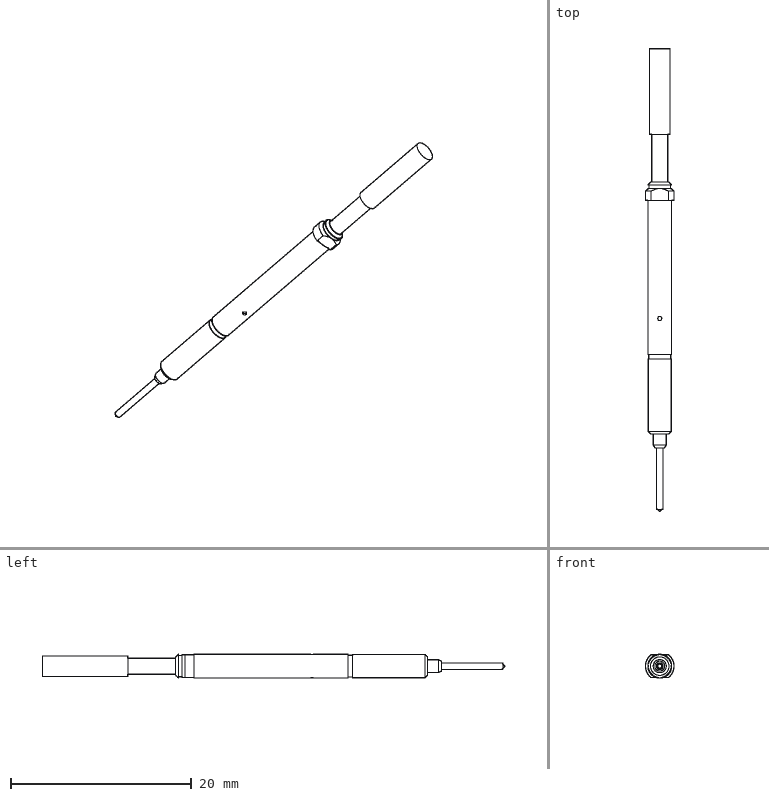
import cadquery as cq


total_length = 51.3

sleeve_diameter = 2.3
sleeve_length = 9.5
neck_diameter = 1.8
neck_end = 14.75

ridge_start_diameter = 2.0
ridge_diameter = 2.65
ridge_station = 15.1
waist_diameter = 2.4
waist_end = 15.5
collar_chamfer_diameter = 2.55
collar_diameter = 3.19
collar_chamfer_end = 15.8
collar_end = 16.8
flat_distance = 2.53

rear_barrel_diameter = 2.65
front_barrel_diameter = 2.6
groove_diameter = 2.45
groove_start = 33.9
groove_end = 34.4
barrel_end = 42.4
barrel_lip_diameter = 2.05
barrel_lip_end = 42.7

dimple_diameter = 0.45
dimple_depth = 0.25
dimple_station = 29.9

guide_diameter = 1.45
guide_nose_start = 43.9
guide_nose_diameter = 1.1
guide_end = 44.25

pin_diameter = 0.75
pin_chamfer_diameter = 0.68
pin_chamfer_length = 0.12
point_diameter = 0.45
point_length = 0.25

rear_y = total_length / 2


def station_y(station):
    """Y coordinate of a distance measured from the rear end."""
    return rear_y - station


def make_body():
    """Revolve the stepped half-profile, listed as (station, diameter)."""
    pin_end = total_length - point_length
    steps = [
        (0, sleeve_diameter),
        (sleeve_length, sleeve_diameter),
        (sleeve_length, neck_diameter),
        (neck_end, neck_diameter),
        (neck_end, ridge_start_diameter),
        (ridge_station, ridge_diameter),
        (ridge_station, waist_diameter),
        (waist_end, waist_diameter),
        (waist_end, collar_chamfer_diameter),
        (collar_chamfer_end, collar_diameter),
        (collar_end, collar_diameter),
        (collar_end, rear_barrel_diameter),
        (groove_start, rear_barrel_diameter),
        (groove_start, groove_diameter),
        (groove_end, groove_diameter),
        (groove_end, front_barrel_diameter),
        (barrel_end, front_barrel_diameter),
        (barrel_lip_end, barrel_lip_diameter),
        (barrel_lip_end, guide_diameter),
        (guide_nose_start, guide_diameter),
        (guide_end, guide_nose_diameter),
        (guide_end, pin_diameter),
        (pin_end - pin_chamfer_length, pin_diameter),
        (pin_end, pin_chamfer_diameter),
        (pin_end, point_diameter),
    ]
    outline = [(diameter / 2, station_y(station)) for station, diameter in steps]
    outline.append((0, station_y(total_length)))
    profile = cq.Workplane("XY").moveTo(0, rear_y).polyline([(0, rear_y)] + outline).close()
    return profile.revolve(360, (0, 0, 0), (0, 1, 0))


def make_flat_cutter(side):
    """Block that removes the collar beyond one flat (side is +1 or -1 in Z)."""
    length = collar_end - waist_end
    middle = station_y((collar_end + waist_end) / 2)
    block = cq.Workplane("XY").box(collar_diameter, length, collar_diameter)
    return block.translate((0, middle, side * (flat_distance + collar_diameter) / 2))


def make_dimple_cutter(side):
    """Cylinder along Z that sinks one dimple (side is +1 or -1 in Z)."""
    floor = rear_barrel_diameter / 2 - dimple_depth
    cutter = cq.Workplane("XY").circle(dimple_diameter / 2).extrude(side * rear_barrel_diameter)
    return cutter.translate((0, station_y(dimple_station), side * floor))


result = make_body()
for side in (1, -1):
    result = result.cut(make_flat_cutter(side))
    result = result.cut(make_dimple_cutter(side))